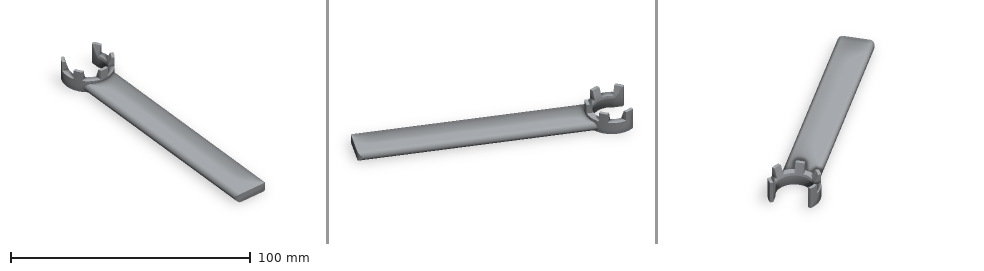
import cadquery as cq
import math

overall_length = 117.2
height = 10.0
outer_radius = 11.3
bore_radius = 8.0
mouth_half_width = 7.5

cone_start_height = 4.6
cone_top_radius = 9.8
notch_floor_height = 5.6
tooth_width = 3.9
tooth_angles = (-120, -60, 0, 60, 120)

handle_width = 16.2
handle_thickness = 4.2

half_tooth = tooth_width / 2
tooth_reach = math.sqrt(outer_radius**2 - half_tooth**2)
jaw_angle = math.radians(max(tooth_angles))
jaw_tip_x = tooth_reach * math.cos(jaw_angle) - half_tooth * math.sin(jaw_angle)
jaw_tip_y = tooth_reach * math.sin(jaw_angle) + half_tooth * math.cos(jaw_angle)
handle_end_x = jaw_tip_x + overall_length


def make_handle():
    """Flat bar with half-round sides and rounded outer corners."""
    edge_radius = handle_thickness / 2
    bar = (
        cq.Workplane("YZ")
        .center(0, edge_radius)
        .slot2D(handle_width, handle_thickness)
        .extrude(handle_end_x)
    )
    plan = (
        cq.Workplane("XY")
        .rect(2 * handle_end_x, handle_width)
        .extrude(handle_thickness)
        .edges("|Z and >X")
        .fillet(edge_radius)
    )
    ring_space = cq.Workplane("XY").circle(outer_radius).extrude(height)
    return bar.intersect(plan).cut(ring_space)


def make_teeth():
    """Radial bars that become teeth where they overlap the ring."""
    teeth = cq.Workplane("XY")
    for angle in tooth_angles:
        tooth = (
            cq.Workplane("XY")
            .box(outer_radius, tooth_width, height, centered=(False, True, False))
            .rotate((0, 0, 0), (0, 0, 1), angle)
        )
        teeth = teeth.add(tooth)
    return teeth.combine()


def make_bore():
    """Straight bore that flares into a cone toward the tooth tips."""
    return (
        cq.Workplane("XZ")
        .polyline([
            (0, 0),
            (bore_radius, 0),
            (bore_radius, cone_start_height),
            (cone_top_radius, height),
            (0, height),
        ])
        .close()
        .revolve(360, (0, 0), (0, 1))
    )


def make_mouth():
    """Parallel-sided opening that widens along the jaw ends."""
    mouth_end_x = -2 * outer_radius
    inner_x = jaw_tip_x + (jaw_tip_y - mouth_half_width) / math.tan(math.pi - jaw_angle)
    flare_y = jaw_tip_y + (jaw_tip_x - mouth_end_x) * math.tan(math.pi - jaw_angle)
    return (
        cq.Workplane("XY")
        .polyline([
            (0, -mouth_half_width),
            (inner_x, -mouth_half_width),
            (mouth_end_x, -flare_y),
            (mouth_end_x, flare_y),
            (inner_x, mouth_half_width),
            (0, mouth_half_width),
        ])
        .close()
        .extrude(height)
    )


def make_ring():
    """Open ring carrying the upright teeth."""
    base = cq.Workplane("XY").circle(outer_radius).extrude(notch_floor_height)
    blank = cq.Workplane("XY").circle(outer_radius).extrude(height)
    crown = blank.intersect(make_teeth())
    return base.union(crown).cut(make_bore()).cut(make_mouth())


result = make_ring().union(make_handle())